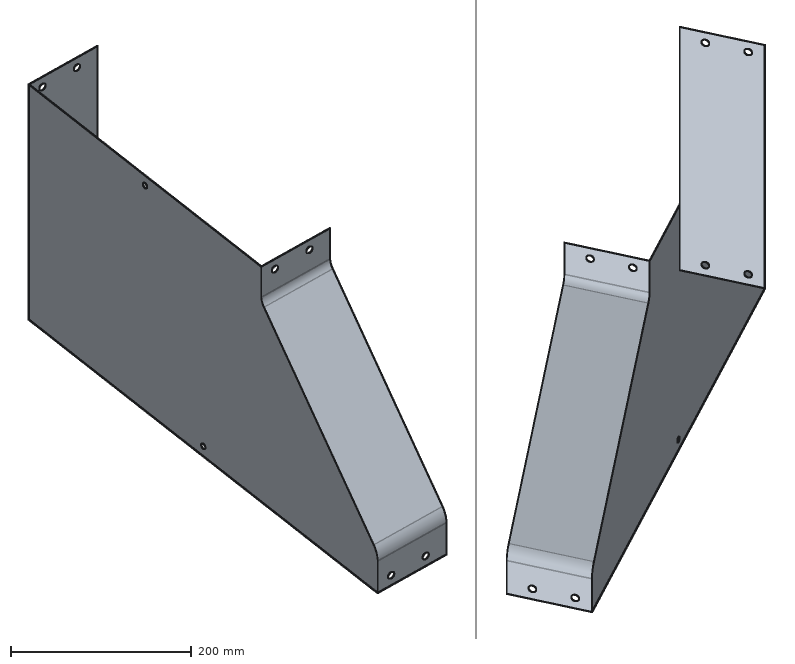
import cadquery as cq

length = 600.0
depth = 100.0
height = 348.0
thickness = 0.8

top_length = 400.0
slope_top_z = 296.5
slope_bottom_z = 59.0
upper_bend_radius = 18.0
lower_bend_radius = 30.0

panel_hole_diameter = 7.0
flange_hole_diameter = 9.0
hole_edge_distance = 15.0
upper_panel_hole_x = length / 3
lower_panel_hole_x = length / 2
flange_hole_depths = (depth / 5, depth * 0.7)

lower_hole_z = hole_edge_distance
upper_hole_z = height - hole_edge_distance


def solid_outline():
    """Full-depth block with the side outline, its two slope corners rounded."""
    points = [
        (0, 0),
        (length, 0),
        (length, slope_bottom_z),
        (top_length, slope_top_z),
        (top_length, height),
        (0, height),
    ]
    block = cq.Workplane("XZ").polyline(points).close().extrude(-depth)
    upper_bend = cq.selectors.NearestToPointSelector((top_length, depth / 2, slope_top_z))
    lower_bend = cq.selectors.NearestToPointSelector((length, depth / 2, slope_bottom_z))
    block = block.edges(upper_bend).fillet(upper_bend_radius)
    return block.edges(lower_bend).fillet(lower_bend_radius)


def hollow_sheet(block):
    """Keep the front panel and the two side flanges; open the back, top and bottom."""
    open_faces = block.faces(">Y or >Z or <Z")
    return open_faces.shell(-thickness)


def panel_hole(x, z):
    """Cutter through the front panel."""
    return (
        cq.Workplane("XZ")
        .center(x, z)
        .circle(panel_hole_diameter / 2)
        .extrude(-depth / 2)
    )


def flange_hole(y, z):
    """Cutter through both side flanges."""
    return (
        cq.Workplane("YZ")
        .center(y, z)
        .circle(flange_hole_diameter / 2)
        .extrude(length)
    )


result = hollow_sheet(solid_outline())
result = result.cut(panel_hole(upper_panel_hole_x, upper_hole_z))
result = result.cut(panel_hole(lower_panel_hole_x, lower_hole_z))
for hole_y in flange_hole_depths:
    for hole_z in (lower_hole_z, upper_hole_z):
        result = result.cut(flange_hole(hole_y, hole_z))